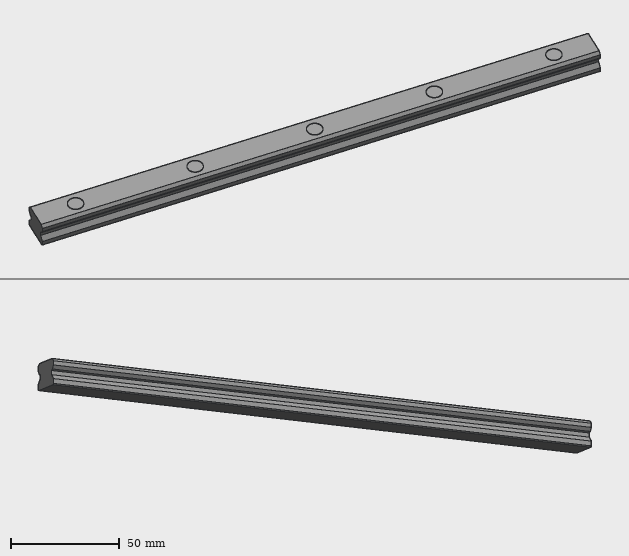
import cadquery as cq

length = 280.0
width = 15.0
height = 12.5

top_chamfer = 1.5
bottom_chamfer = 0.5
foot_side_top = 2.8
waist_bottom = 5.0
waist_top = 7.0
knee_height = 7.5
knee_depth = 1.0
head_side_bottom = 9.2
waist_depth = 2.0

recess_count = 5
pitch_per_margin = 3
recess_diameter = 7.5
recess_depth = 0.3
end_margin = length / ((recess_count - 1) * pitch_per_margin + 2)
recess_pitch = end_margin * pitch_per_margin


def make_rail():
    """Extrude the symmetric rail section, centred on X and Y and resting on Z = 0."""
    half_width = width / 2
    half_waist = half_width - waist_depth
    right_side = [
        (half_width - bottom_chamfer, 0),
        (half_width, bottom_chamfer),
        (half_width, foot_side_top),
        (half_waist, waist_bottom),
        (half_waist, waist_top),
        (half_width - knee_depth, knee_height),
        (half_width, head_side_bottom),
        (half_width, height - top_chamfer),
        (half_width - top_chamfer, height),
    ]
    left_side = [(-x, z) for x, z in reversed(right_side)]
    section = cq.Workplane("XZ").polyline(right_side + left_side).close()
    return section.extrude(length / 2, both=True)


def make_recesses():
    """Shallow round cutters spaced evenly along the centre of the top face."""
    return (
        cq.Workplane("XY")
        .workplane(offset=height)
        .rarray(2.8, recess_pitch, 1, recess_count)
        .circle(recess_diameter / 2)
        .extrude(-recess_depth)
    )


result = make_rail().cut(make_recesses())